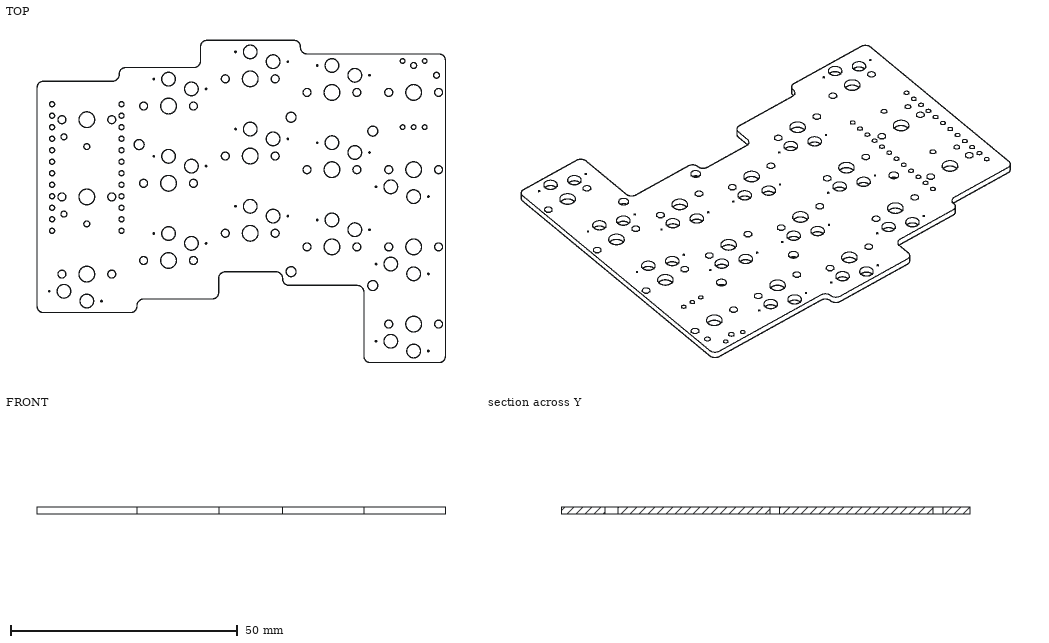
import cadquery as cq

thickness = 1.6
width = 90.0
left_edge = -width / 2
right_edge = width / 2
corner_radius = 1.4

column_pitch = 18.0
row_pitch = 17.0
half_row = row_pitch / 2
middle_column_shift = 9.0
stagger = middle_column_shift / 3
first_column_x = -34.0
first_key_y = 18.0
column_shifts = [0, stagger, middle_column_shift, 2 * stagger, 2 * stagger]
rows_per_column = [3, 3, 3, 3, 4]

column_x = [first_column_x + i * column_pitch for i in range(len(column_shifts))]
top_key_y = [first_key_y + shift for shift in column_shifts]
bottom_key_y = [top - (rows - 1) * row_pitch for top, rows in zip(top_key_y, rows_per_column)]

top_step_x = [-26.9, -9.0, 13.05]
bottom_step_x = [-22.95, -4.95, 9.1, 27.0]

switch_centre_diameter = 3.4
switch_peg_diameter = 1.7
switch_peg_offset = 5.5
contact_offsets = [(0, 5.9), (5.0, 3.8)]
socket_contact_diameter = 3.0
solder_contact_diameter = 1.3
via_diameter = 0.3
via_spacing = 3.2
turned_keys = [(0, 0), (0, 1), (0, 2), (4, 1), (4, 2), (4, 3)]
soldered_keys = [(0, 0), (0, 1), (4, 0)]

controller_pin_diameter = 1.1
controller_pin_count = 12
controller_pin_span = 27.9
controller_pin_pitch = controller_pin_span / (controller_pin_count - 1)
controller_first_pin_y = 21.4
controller_half_span = 7.65

encoder_pin_diameter = 1.0
encoder_pin_spacing = 2.4
encoder_upper_pin_y = 6.9
encoder_lower_pin_y = -7.65

mounting_diameter = 2.2
mounting_points = [(-22.5, 12.5), (11.0, 18.5), (29.0, 15.5), (11.0, -15.5), (29.0, -18.5)]


def stepped_edge(step_x, levels):
    """Corner points of a staircase from left to right, with one level more than steps."""
    stops = [left_edge, *step_x, right_edge]
    points = []
    for i, y in enumerate(levels):
        points += [(stops[i], y), (stops[i + 1], y)]
    return points


def make_plate():
    top_levels = [y + half_row for y in top_key_y[:-1]]
    bottom_levels = [y - half_row for y in bottom_key_y]
    top_corners = stepped_edge(top_step_x, top_levels)
    bottom_corners = stepped_edge(bottom_step_x, bottom_levels)
    outline = top_corners + bottom_corners[::-1]
    plate = cq.Workplane("XY").polyline(outline).close().extrude(thickness)
    return plate.edges("|Z").fillet(corner_radius)


def drill(plate, points, diameter):
    return plate.cut(cq.Workplane("XY").pushPoints(points).circle(diameter / 2).extrude(thickness))


def drill_keys(plate):
    centres = []
    pegs = []
    socket_contacts = []
    solder_contacts = []
    vias = []
    for column, rows in enumerate(rows_per_column):
        x = column_x[column]
        for row in range(rows):
            y = top_key_y[column] - row * row_pitch
            centres.append((x, y))
            pegs += [(x - switch_peg_offset, y), (x + switch_peg_offset, y)]
            turn = -1 if (column, row) in turned_keys else 1
            contacts = [(x + turn * dx, y + turn * dy) for dx, dy in contact_offsets]
            if (column, row) in soldered_keys:
                solder_contacts += contacts
            else:
                socket_contacts += contacts
                for (contact_x, contact_y), side in zip(contacts, (-turn, turn)):
                    vias.append((contact_x + side * via_spacing, contact_y))
    plate = drill(plate, centres, switch_centre_diameter)
    plate = drill(plate, pegs, switch_peg_diameter)
    plate = drill(plate, socket_contacts, socket_contact_diameter)
    plate = drill(plate, solder_contacts, solder_contact_diameter)
    return drill(plate, vias, via_diameter)


def drill_controller(plate):
    pins = []
    for i in range(controller_pin_count):
        y = controller_first_pin_y - i * controller_pin_pitch
        pins += [(first_column_x + side * controller_half_span, y) for side in (-1, 1)]
    return drill(plate, pins, controller_pin_diameter)


def drill_encoder(plate):
    x = column_x[-1]
    y = top_key_y[-1]
    pins = [(x + side * encoder_pin_spacing, y + encoder_upper_pin_y) for side in (-1, 1)]
    pins += [(x + side * encoder_pin_spacing, y + encoder_lower_pin_y) for side in (-1, 0, 1)]
    return drill(plate, pins, encoder_pin_diameter)


result = make_plate()
result = drill_keys(result)
result = drill_controller(result)
result = drill_encoder(result)
result = drill(result, mounting_points, mounting_diameter)